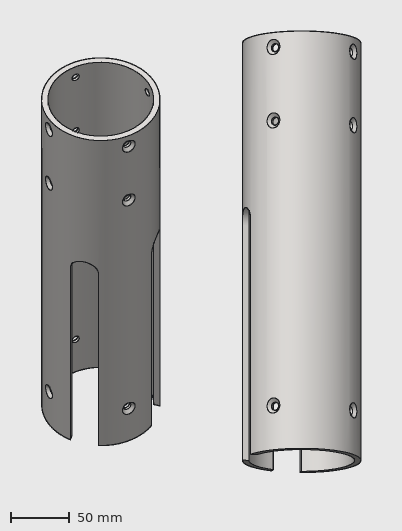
import cadquery as cq
import math

LENGTH = 362
OUTER_DIAMETER = 100.5
INNER_DIAMETER = 89.8
OUTER_RADIUS = OUTER_DIAMETER / 2
INNER_RADIUS = INNER_DIAMETER / 2

SLOT_WIDTH = 25.0
SLOT_LENGTH = 216.0
SLOT_ANGLES = (-90, 0)

HOLE_DIAMETER = 7.0
SINK_DIAMETER = 13.0
SINK_ANGLE = 90
HOLE_HEIGHTS = (38.5, 285.5, 349.3)
HOLE_ANGLES = (45, 135, 225, 315)


def radial_plane(angle, height, radius):
    """Plane facing outward at the given angle, with its local Y along the tube."""
    turn = math.radians(angle)
    outward = (math.cos(turn), math.sin(turn), 0)
    sideways = (-math.sin(turn), math.cos(turn), 0)
    origin = (radius * outward[0], radius * outward[1], height)
    return cq.Plane(origin=origin, xDir=sideways, normal=outward)


def slot_cutter(angle):
    """Slot through one wall, with a semicircular upper end."""
    half_width = SLOT_WIDTH / 2
    straight_length = SLOT_LENGTH - half_width
    return (
        cq.Workplane(radial_plane(angle, 0, 0))
        .moveTo(-half_width, 0)
        .lineTo(-half_width, straight_length)
        .threePointArc((0, SLOT_LENGTH), (half_width, straight_length))
        .lineTo(half_width, 0)
        .close()
        .extrude(OUTER_DIAMETER)
    )


def screw_hole_cutter(angle, height):
    """Straight hole through one wall with a conical sink at the outer surface."""
    hole = (
        cq.Workplane(radial_plane(angle, height, 0))
        .circle(HOLE_DIAMETER / 2)
        .extrude(OUTER_DIAMETER)
    )
    sink_radius = SINK_DIAMETER / 2
    sink_depth = sink_radius / math.tan(math.radians(SINK_ANGLE / 2))
    cone = cq.Solid.makeCone(sink_radius, 0, sink_depth)
    plane = radial_plane(angle, height, OUTER_RADIUS)
    inward_cone = cone.rotate(cq.Vector(0, 0, 0), cq.Vector(1, 0, 0), 180)
    return hole.union(cq.Workplane(inward_cone.moved(cq.Location(plane))))


result = cq.Workplane().circle(OUTER_RADIUS).circle(INNER_RADIUS).extrude(LENGTH)

for slot_angle in SLOT_ANGLES:
    result = result.cut(slot_cutter(slot_angle))

for hole_height in HOLE_HEIGHTS:
    for hole_angle in HOLE_ANGLES:
        result = result.cut(screw_hole_cutter(hole_angle, hole_height))